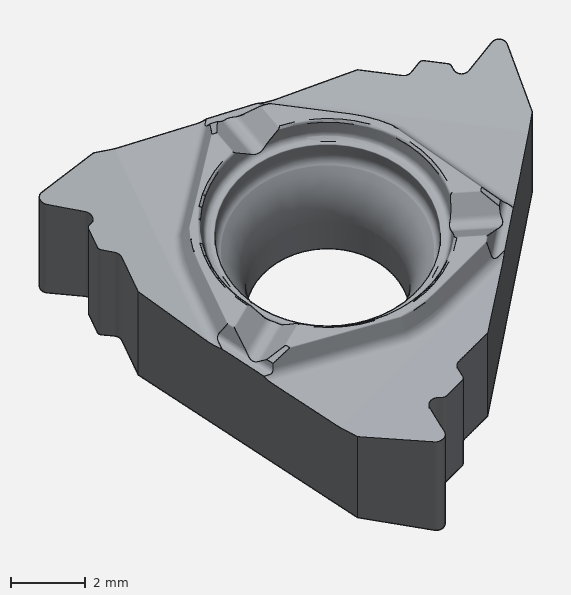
import cadquery as cq
import math

CORNERS = 3
CORNER_PITCH = 360 / CORNERS

OVERALL_LENGTH = 13.55

TOP_Z = 4.1
FLOOR_Z = 3.52
LEDGE_Z = 3.6
CUT_TOP_Z = 4.74
REACH = 9.48

INSCRIBED_DIAMETER = 9.53
SIDE_DISTANCE = INSCRIBED_DIAMETER / 2
FLANK_ANGLE = 27.5
THREAD_RADIUS = 0.25
TIP_X = -3.58
ROOT_X = -2.71
CREST_Y = -5.98
CREST_START_X = -2.37
CREST_END_X = -1.57
CREST_RADIUS = 0.14
SHOULDER_Y = -5.46
SHOULDER_RADIUS = 0.25

CREASE_Y = -4.28
RAKE_ANGLE = 10.0
CREASE_RADIUS = 0.31
RAKE_OVERLAP = 0.07

WALL_ANGLE = 60.0
SIDE_WALL_ANGLE = 67.0
FRONT_WALL = 3.7
BACK_WALL = 3.6
BACK_WALL_TURN = -31.8
SIDE_WALL = 4.3
SIDE_WALL_TURN = 30.0
WALL_FOOT_RADIUS = 0.37
SIDE_FOOT_RADIUS = 0.19
WALL_EDGE_RADIUS = 0.04

GROOVE_DIRECTION = 193.5
GROOVE_HALF_WIDTH = 0.75
GROOVE_FLOOR_Z = 3.62
GROOVE_SIDE_ANGLE = 39.0
GROOVE_RADIUS = 0.34
GROOVE_RIM_RADIUS = 0.08
CHAMFER_START = 3.88
CHAMFER_ANGLE = 27.0
CHAMFER_Y_RANGE = (-2.71, -1.08)

HOLE_DIAMETER = 4.4
HOLE_RADIUS = HOLE_DIAMETER / 2
HOLE_TOP_Z = 1.25
SEAT_RADIUS = 2.86
SEAT_Z = 2.85
BORE_RADIUS = 3.02
BORE_BOTTOM_Z = 3.15
STEP_Z = 3.56
STEP_RIM_RADIUS = 0.03
RECESS_FOOT = 3.29
RECESS_FOOT_RADIUS = 0.2
RECESS_RADIUS = 3.43
RECESS_RIM_RADIUS = 0.08


def tan(angle):
    return math.tan(math.radians(angle))


def rotated(point, angle):
    a = math.radians(angle)
    x, y = point
    return (x * math.cos(a) - y * math.sin(a), x * math.sin(a) + y * math.cos(a))


def rounded_outline(plane, corners):
    """Closed polygon from (x, y, radius) corners; a radius of 0 keeps the corner sharp."""
    segments = []
    for i, (x, y, radius) in enumerate(corners):
        here = cq.Vector(x, y)
        before = (cq.Vector(*corners[i - 1][:2]) - here).normalized()
        after = (cq.Vector(*corners[(i + 1) % len(corners)][:2]) - here).normalized()
        if radius == 0:
            segments.append([here])
            continue
        half_angle = before.getAngle(after) / 2
        setback = radius / math.tan(half_angle)
        bulge = radius / math.sin(half_angle) - radius
        middle = here + (before + after).normalized() * bulge
        segments.append([here + before * setback, middle, here + after * setback])

    sketch = cq.Workplane(plane).moveTo(*segments[0][-1].toTuple()[:2])
    for segment in segments[1:] + segments[:1]:
        points = [p.toTuple()[:2] for p in segment]
        sketch = sketch.lineTo(*points[0])
        if len(points) > 1:
            sketch = sketch.threePointArc(*points[1:])
    return sketch.close()


def around(solid):
    """The solid repeated at every corner of the insert."""
    copies = solid
    for i in range(1, CORNERS):
        copies = copies.union(solid.rotate((0, 0, 0), (0, 0, 1), i * CORNER_PITCH))
    return copies


def body():
    """Prism with a thread profile on every corner."""
    flank = tan(FLANK_ANGLE)
    turn = math.radians(CORNER_PITCH)
    tip_center_y = (2 * THREAD_RADIUS - TIP_X * math.sin(turn) - OVERALL_LENGTH) / (1 - math.cos(turn))
    tip_apex_y = tip_center_y - THREAD_RADIUS / math.sin(math.radians(FLANK_ANGLE))
    root_apex_y = tip_apex_y + (ROOT_X - TIP_X) / flank
    lean = math.radians(CORNER_PITCH / 2)
    shoulder_end_x = (SIDE_DISTANCE + SHOULDER_Y * math.sin(lean)) / math.cos(lean)
    corner = [
        (-SIDE_DISTANCE, tip_apex_y + (TIP_X + SIDE_DISTANCE) / flank, 0),
        (TIP_X, tip_apex_y, THREAD_RADIUS),
        (ROOT_X, root_apex_y, THREAD_RADIUS),
        (CREST_START_X, CREST_Y, CREST_RADIUS),
        (CREST_END_X, CREST_Y, CREST_RADIUS),
        (CREST_END_X + (SHOULDER_Y - CREST_Y) * flank, SHOULDER_Y, SHOULDER_RADIUS),
        (shoulder_end_x, SHOULDER_Y, 0),
    ]
    outline = []
    for i in range(CORNERS):
        for x, y, radius in corner:
            outline.append((*rotated((x, y), i * CORNER_PITCH), radius))
    return rounded_outline("XY", outline).extrude(TOP_Z)


def rake_faces():
    """Wedges rising toward the corner tips."""
    inner_y = CREASE_Y + RAKE_OVERLAP
    rise = (REACH + CREASE_Y) * tan(RAKE_ANGLE)
    section = [
        (inner_y, 0, 0),
        (inner_y, FLOOR_Z, 0),
        (CREASE_Y, FLOOR_Z, CREASE_RADIUS),
        (-REACH, FLOOR_Z + rise, 0),
        (-REACH, 0, 0),
    ]
    wedge = rounded_outline("YZ", section).extrude(REACH, both=True)
    return around(wedge)


def wall_section(inner, top_distance, angle, foot_z, foot_radius):
    """Section of a chip breaker wall and the floor outside it, facing -Y."""
    foot = top_distance + (TOP_Z - foot_z) / tan(angle)
    return [
        (inner, 0, 0),
        (inner, TOP_Z, 0),
        (-top_distance, TOP_Z, WALL_EDGE_RADIUS),
        (-foot, foot_z, foot_radius),
        (-REACH, foot_z, 0),
        (-REACH, 0, 0),
    ]


def chip_breaker():
    """Raised plateau and the floor around it."""
    front_section = wall_section(0, FRONT_WALL, WALL_ANGLE, FLOOR_Z, WALL_FOOT_RADIUS)
    plateau = rounded_outline("YZ", front_section).revolve(360, (0, 0), (0, 1))
    plateau = plateau.union(around(rounded_outline("YZ", front_section).extrude(REACH)))

    back = wall_section(REACH, BACK_WALL, WALL_ANGLE, FLOOR_Z, WALL_FOOT_RADIUS)
    side = wall_section(REACH, SIDE_WALL, SIDE_WALL_ANGLE, LEDGE_Z, SIDE_FOOT_RADIUS)
    for section, turn in ((back, BACK_WALL_TURN), (side, SIDE_WALL_TURN)):
        limit = rounded_outline("YZ", section).extrude(2 * REACH, both=True)
        for i in range(CORNERS):
            plateau = plateau.intersect(limit.rotate((0, 0, 0), (0, 0, 1), turn + i * CORNER_PITCH))
    return plateau


def grooves():
    """Radial V grooves with rounded bottoms, from the recess to the sides."""
    floor_half_width = GROOVE_HALF_WIDTH - (TOP_Z - GROOVE_FLOOR_Z) / tan(GROOVE_SIDE_ANGLE)
    section = [
        (-REACH, TOP_Z, 0),
        (-GROOVE_HALF_WIDTH, TOP_Z, GROOVE_RIM_RADIUS),
        (-floor_half_width, GROOVE_FLOOR_Z, GROOVE_RADIUS),
        (floor_half_width, GROOVE_FLOOR_Z, GROOVE_RADIUS),
        (GROOVE_HALF_WIDTH, TOP_Z, GROOVE_RIM_RADIUS),
        (REACH, TOP_Z, 0),
        (REACH, CUT_TOP_Z, 0),
        (-REACH, CUT_TOP_Z, 0),
    ]
    groove = rounded_outline("YZ", section).extrude(REACH)
    return around(groove.rotate((0, 0, 0), (0, 0, 1), GROOVE_DIRECTION))


def groove_chamfers():
    """Sloped cut on the plateau corner between each groove and back wall."""
    drop = (REACH - CHAMFER_START) * tan(CHAMFER_ANGLE)
    near_y, far_y = CHAMFER_Y_RANGE
    cutter = (
        cq.Workplane("XZ", origin=(0, far_y, 0))
        .moveTo(-CHAMFER_START, TOP_Z)
        .lineTo(-REACH, TOP_Z)
        .lineTo(-REACH, TOP_Z - drop)
        .close()
        .extrude(far_y - near_y)
    )
    return around(cutter)


def upright_arc_middle(start, end):
    """Middle point of an arc that leaves `start` vertically and passes through `end`."""
    run = end[0] - start[0]
    rise = end[1] - start[1]
    radius = (run**2 + rise**2) / (2 * run)
    half_sweep = math.asin(rise / radius) / 2
    return (start[0] + radius * (1 - math.cos(half_sweep)), start[1] + radius * math.sin(half_sweep))


def screw_hole():
    """Through bore and curved screw-head seat, below a stepped recess."""
    hole_top = (HOLE_RADIUS, HOLE_TOP_Z)
    seat_top = (SEAT_RADIUS, SEAT_Z)
    bore_bottom = (BORE_RADIUS, BORE_BOTTOM_Z)
    lower = (
        cq.Workplane("XZ")
        .lineTo(HOLE_RADIUS, 0)
        .lineTo(*hole_top)
        .threePointArc(upright_arc_middle(hole_top, seat_top), seat_top)
        .threePointArc(upright_arc_middle(bore_bottom, seat_top), bore_bottom)
        .lineTo(0, BORE_BOTTOM_Z)
        .close()
        .revolve(360, (0, 0), (0, 1))
    )
    recess_section = [
        (0, BORE_BOTTOM_Z, 0),
        (BORE_RADIUS, BORE_BOTTOM_Z, 0),
        (BORE_RADIUS, STEP_Z, STEP_RIM_RADIUS),
        (RECESS_FOOT, STEP_Z, RECESS_FOOT_RADIUS),
        (RECESS_RADIUS, TOP_Z, RECESS_RIM_RADIUS),
        (REACH, TOP_Z, 0),
        (REACH, CUT_TOP_Z, 0),
        (0, CUT_TOP_Z, 0),
    ]
    recess = rounded_outline("XZ", recess_section).revolve(360, (0, 0), (0, 1))
    return lower.union(recess)


top_form = chip_breaker().cut(grooves()).cut(groove_chamfers())
result = body().intersect(top_form.union(rake_faces())).cut(screw_hole())